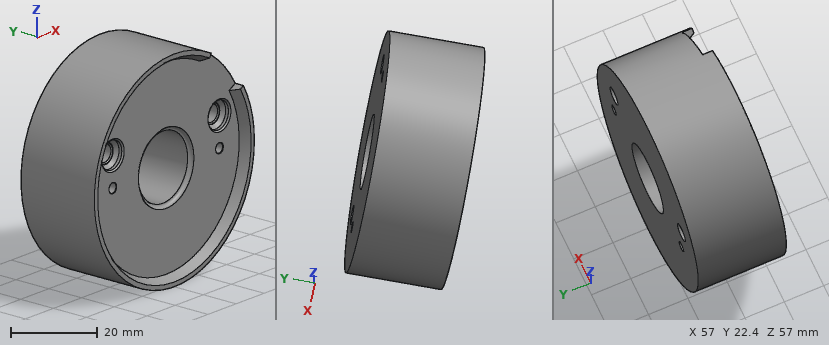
import cadquery as cq
import math

outer_radius = 28.5
thickness = 22.4
front_y = -thickness / 2
back_y = thickness / 2

recess_depth = 2.5
recess_mouth_radius = 27.3
recess_floor_radius = 26.0
floor_y = front_y + recess_depth

gap_start_angle = 30.4
gap_end_angle = 62.6

bore_radius = 8.85
bore_edge_round = 1.0

hole_offset_x = 19.0
screw_z = 8.0
screw_radius = 2.2
countersink_radius = 3.65
cone_end_radius = 2.7
mouth_chamfer = 0.4
mouth_depth = 1.25
step_chamfer = 0.3

pin_radius = 1.25
pin_chamfer = 0.1


def revolve_about_y(profile):
    """Turn a closed (radius, y) profile about the Y axis."""
    return cq.Workplane("XY").polyline(profile).close().revolve(360, (0, 0, 0), (0, 1, 0))


def make_recess():
    return revolve_about_y([
        (0, front_y),
        (recess_mouth_radius, front_y),
        (recess_floor_radius, floor_y),
        (0, floor_y),
    ])


def make_rim_gap():
    """Wedge from the axis, as deep as the recess, reaching past the outer wall."""
    reach = 2 * outer_radius
    corners = [
        (reach * math.cos(math.radians(angle)), reach * math.sin(math.radians(angle)))
        for angle in (gap_start_angle, gap_end_angle)
    ]
    wedge = cq.Workplane("XZ").polyline([(0, 0)] + corners).close().extrude(recess_depth)
    return wedge.translate((0, floor_y, 0))


def make_bore():
    profile = (
        cq.Workplane("XY")
        .moveTo(0, floor_y)
        .lineTo(bore_radius + bore_edge_round, floor_y)
        .radiusArc((bore_radius, floor_y + bore_edge_round), -bore_edge_round)
        .lineTo(bore_radius, back_y)
        .lineTo(0, back_y)
        .close()
    )
    return profile.revolve(360, (0, 0, 0), (0, 1, 0))


def make_screw_hole():
    mouth_y = floor_y + mouth_depth
    cone_end_y = mouth_y + countersink_radius - cone_end_radius
    return revolve_about_y([
        (0, floor_y),
        (countersink_radius + mouth_chamfer, floor_y),
        (countersink_radius, floor_y + mouth_chamfer),
        (countersink_radius, mouth_y),
        (cone_end_radius, cone_end_y),
        (screw_radius + step_chamfer, cone_end_y),
        (screw_radius, cone_end_y + step_chamfer),
        (screw_radius, back_y),
        (0, back_y),
    ])


def make_pin_hole():
    return revolve_about_y([
        (0, floor_y),
        (pin_radius + pin_chamfer, floor_y),
        (pin_radius, floor_y + pin_chamfer),
        (pin_radius, back_y),
        (0, back_y),
    ])


body = cq.Workplane("XZ").circle(outer_radius).extrude(thickness)
body = body.translate((0, back_y, 0))
front_opening = make_recess().union(make_rim_gap(), clean=True)
body = body.cut(front_opening).cut(make_bore())

for hole_x in (-hole_offset_x, hole_offset_x):
    body = body.cut(make_screw_hole().translate((hole_x, 0, screw_z)))
    body = body.cut(make_pin_hole().translate((hole_x, 0, 0)))

result = body